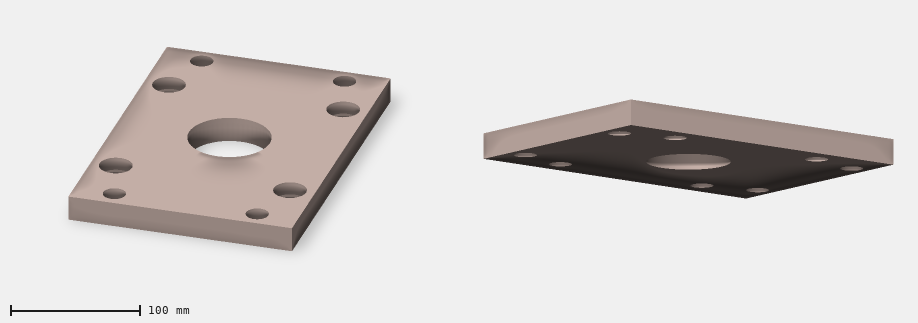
import cadquery as cq

width = 180.0
length = 260.0
thickness = 20.0

bore_diameter = 65.0

hole_diameter = 18.0
hole_spacing_x = 115.0
hole_spacing_y = 230.0

counterbore_diameter = 26.0
counterbore_depth = 10.5
counterbore_spacing = 140.1

plate = cq.Workplane("XY").box(width, length, thickness)

plate = plate.faces(">Z").workplane().hole(bore_diameter)

plate = (
    plate.faces(">Z").workplane()
    .rect(hole_spacing_x, hole_spacing_y, forConstruction=True)
    .vertices()
    .hole(hole_diameter)
)

result = (
    plate.faces(">Z").workplane()
    .rect(counterbore_spacing, counterbore_spacing, forConstruction=True)
    .vertices()
    .cboreHole(hole_diameter, counterbore_diameter, counterbore_depth)
)